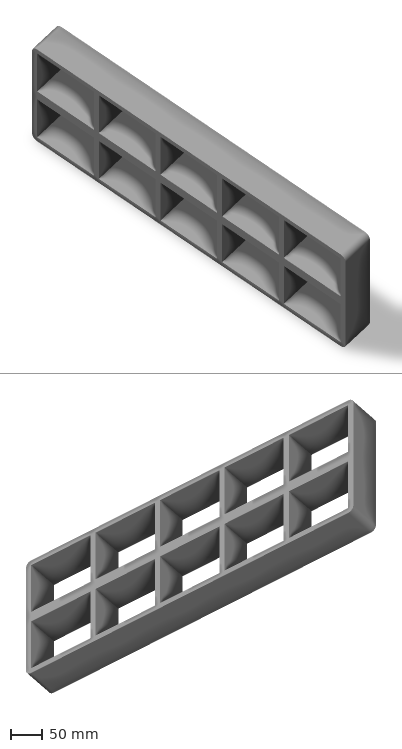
import cadquery as cq

length = 662.5
depth = 60.0
height = 242.0
corner_radius = 10.5

columns = 5
rows = 2
opening_width = 120.0
opening_height = 100.0

rib = (length - columns * opening_width) / (columns + 1)
edge_wall = (height - rows * opening_height) / (2 * rows)
column_pitch = opening_width + rib
row_pitch = opening_height + 2 * edge_wall

frame = cq.Workplane("XY").box(length, depth, height).edges("|Y").fillet(corner_radius)

openings = (
    cq.Workplane("XZ")
    .rarray(column_pitch, row_pitch, columns, rows)
    .rect(opening_width, opening_height)
    .extrude(depth, both=True)
)

result = frame.cut(openings)